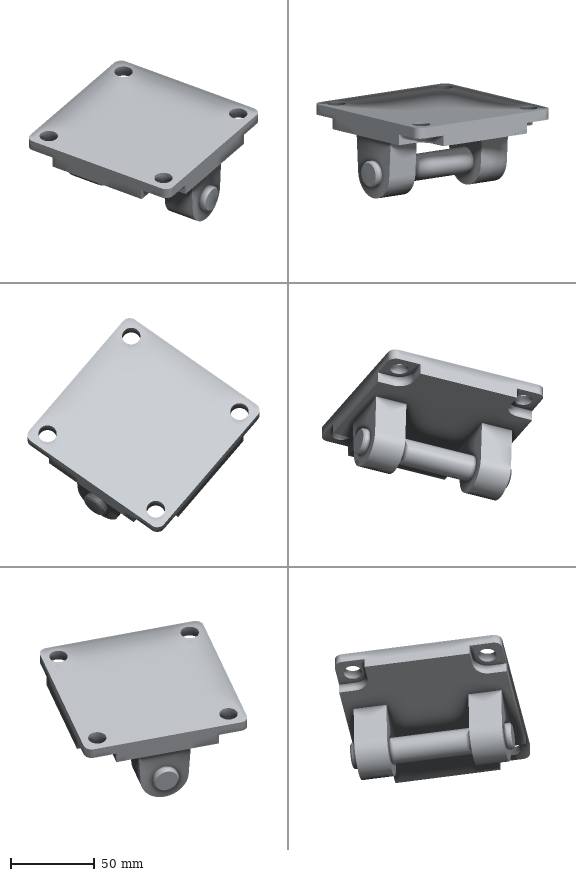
import cadquery as cq
import math

plate_side = 102.0
plate_thickness = 13.0
flange_thickness = 6.5
corner_radius = 5.0

hole_diameter = 11.0
hole_edge_distance = 10.0
relief_radius = 9.0

lug_thickness = 20.0
lug_gap = 50.0
lug_end_radius = 15.0
lug_top_width = 33.0

pin_diameter = 16.0
pin_length = 98.0
pin_chamfer = 1.0
pin_depth = 36.0

hole_offset = plate_side / 2 - hole_edge_distance
corner_signs = [(sx, sy) for sx in (-1, 1) for sy in (-1, 1)]


def corner_relief(sx, sy):
    """Square pocket below the flange, rounded at its inner corner about the hole axis."""
    side = hole_edge_distance + relief_radius
    center = plate_side / 2 - side / 2
    inner_corner = f"|Z and ({'<' if sx > 0 else '>'}X and {'<' if sy > 0 else '>'}Y)"
    return (
        cq.Workplane("XY")
        .workplane(offset=-plate_thickness)
        .center(sx * center, sy * center)
        .rect(side, side)
        .extrude(plate_thickness - flange_thickness)
        .edges(inner_corner)
        .fillet(relief_radius)
    )


def make_plate():
    """Square plate with rounded corners, corner reliefs and four through holes."""
    plate = (
        cq.Workplane("XY")
        .rect(plate_side, plate_side)
        .extrude(-plate_thickness)
        .edges("|Z")
        .fillet(corner_radius)
    )
    for sx, sy in corner_signs:
        plate = plate.cut(corner_relief(sx, sy))
    holes = (
        cq.Workplane("XY")
        .pushPoints([(sx * hole_offset, sy * hole_offset) for sx, sy in corner_signs])
        .circle(hole_diameter / 2)
        .extrude(-plate_thickness)
    )
    return plate.cut(holes)


def make_lug(x_start):
    """Lug whose tapered sides run tangent into the round end about the pin axis."""
    top_y = lug_top_width / 2
    top_z = -plate_thickness
    top_height = pin_depth - plate_thickness
    top_corner_angle = math.atan2(top_y, top_height)
    taper = top_corner_angle - math.asin(lug_end_radius / math.hypot(top_y, top_height))
    tangent_y = lug_end_radius * math.cos(taper)
    tangent_z = -pin_depth - lug_end_radius * math.sin(taper)
    return (
        cq.Workplane("YZ")
        .workplane(offset=x_start)
        .moveTo(-top_y, top_z)
        .lineTo(-tangent_y, tangent_z)
        .threePointArc((0, -pin_depth - lug_end_radius), (tangent_y, tangent_z))
        .lineTo(top_y, top_z)
        .close()
        .extrude(lug_thickness)
    )


def make_pin():
    """Round pin along X with chamfered ends."""
    return (
        cq.Workplane("YZ")
        .workplane(offset=-pin_length / 2)
        .center(0, -pin_depth)
        .circle(pin_diameter / 2)
        .extrude(pin_length)
        .faces("<X or >X")
        .chamfer(pin_chamfer)
    )


result = make_plate()
for lug_start in (-lug_gap / 2 - lug_thickness, lug_gap / 2):
    result = result.union(make_lug(lug_start))
result = result.union(make_pin())